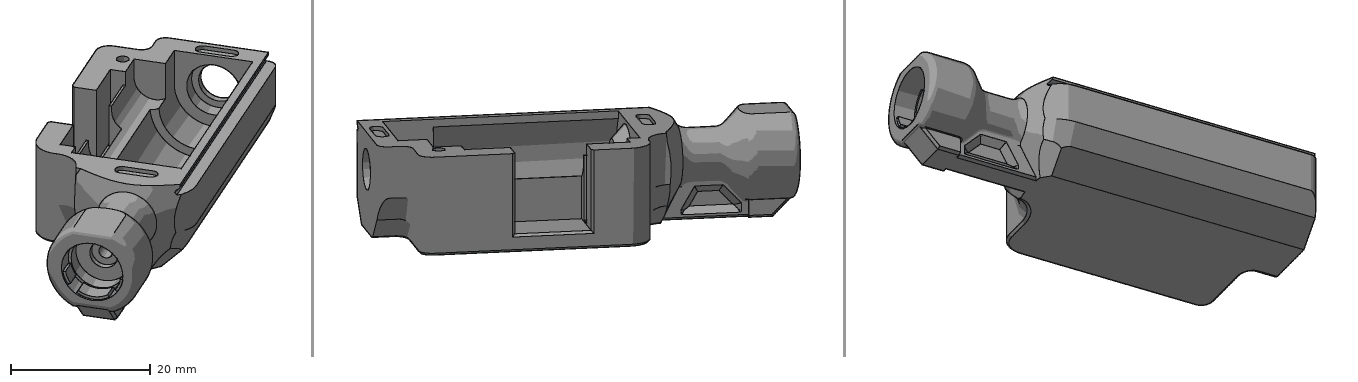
import cadquery as cq
import math

LENGTH = 62.2
AXIS_Z = 9.1
DECK_Z = 14.55

SHELL_RIGHT = 8.65
SHELL_LEFT = -8.65
SHELL_REAR_LEFT = -9.3
SHELL_SPLIT = 40.4
SHELL_FRONT = 16.8
KNEE_Z = 6.95
HAUNCH_Z = 3.5
KNEE_INSET = 1.35
FOOT_INSET = 4.8
REAR_CORNER_R = 1.55
SHOULDER_Y = 21.1
SHOULDER_R = 5.0
SHOULDER_TAPER = 34.0

LOBE_LEFT = -16.7
LOBE_FRONT = 23.3
LOBE_BACK = 57.5
LOBE_FRONT_R = 3.6
LOBE_BACK_R = 2.05
FRONT_BLEND_R = 3.75
REAR_BLEND_R = 1.6
BASE_CHAMFER = 0.4

NECK_R = 3.9
BARREL_R = 7.0
FLAT_HEIGHT = 6.35
BARREL_END = 6.7
MOUTH_FILLET = 1.0
NECK_FRONT = 11.15
NECK_BACK = 15.2
NOSE_R = 5.4
NOSE_Y = 17.4
NOSE_SLOPE = 0.6

MOUTH_BORE_R = 4.6
BORE_R = 4.15
MOUTH_BORE_DEPTH = 3.3
BORE_DEPTH = 5.6
NOTCH_MIDDLE = 90.0
NOTCH_SPREAD = 66.0
LUGS = ((-23.5, 27.0), (-90.0, 64.0), (-156.5, 27.0))
LUG_FRONT = 0.4
LUG_BACK = 3.0
SEAT_D = 4.15
SEAT_DEPTH = 0.95
PASSAGE_D = 2.0

KEEL_HALF = 2.05
KEEL_TIP_HALF = 2.75
KEEL_STEP_Y = 6.85
KEEL_TOE_Y = 3.35
KEEL_TOP = 6.85
KEEL_BACK = 20.5
WEB_FILLET = 0.5
RECESS_DEPTH = 0.9
RECESS_CORNER_R = 0.3
RECESS_TAPER = 50.0

POCKET_RIGHT = 5.85
POCKET_FRONT = 24.3
POCKET_STEP = 51.3
POCKET_BACK = 58.7
WIDE_R = 7.3
NARROW_R = 5.9
REAR_PORT_R = 4.05
REAR_PORT_DEPTH = 2.35
REAR_HOLE_R = 3.0
BOSS_BASE_R = 4.85
BOSS_TIP_R = 2.8
BOSS_LENGTH = 2.0

CHANNEL_R = 3.1
CHANNEL_LEFT = -10.65
CHANNEL_Z = 11.6
CHANNEL_BACK = 54.5
WINDOW_INNER = -9.15
WINDOW_FRONT = 32.5
WINDOW_BACK = 43.65
WINDOW_FLOOR = 2.6
WINDOW_BEVEL = 0.4
SLIT_FLOOR = 2.85
SLIT_LEFT = -12.95
SLIT_RIGHT = -11.0
SLIT_FRONT = 26.2
SLIT_BACK = 50.4
LEDGE_RIGHT = -10.5
LEDGE_Z = 12.4

PIN_D = 1.8
PIN_X = -12.2
PIN_Y = 54.0
PIN_DEPTH = 3.75
KEY_LENGTH = 6.35
KEY_WIDTH = 2.0
KEY_DEPTH = 0.6
KEY_YS = (21.4, 60.35)
LIP_X = 7.15
LIP_THICKNESS = 0.45
LIP_UNDERCUT = 0.6
REBATE_Z = 13.1

OVER = 3.1


def block(x0, x1, y0, y1, z0, z1):
    return cq.Workplane("XY").box(x1 - x0, y1 - y0, z1 - z0, centered=False).translate((x0, y0, z0))


def rod(radius, y0, y1, x=0.0, z=AXIS_Z):
    """Solid cylinder along Y from y0 to y1."""
    return cq.Workplane("XZ", origin=(x, y0, z)).circle(radius).extrude(y0 - y1)


def turned(profile):
    """Revolve an outline of (radius, y) about the nozzle axis."""
    return profile.close().revolve(360, (0, 0, 0), (0, 1, 0)).translate((0, 0, AXIS_Z))


def right_profile():
    """Bevelled right side of the shell, from the deck down to the underside."""
    return [
        (SHELL_RIGHT, DECK_Z),
        (SHELL_RIGHT, KNEE_Z),
        (SHELL_RIGHT - KNEE_INSET, HAUNCH_Z),
        (SHELL_RIGHT - FOOT_INSET, 0),
    ]


def shell_length(left, y0, y1):
    section = right_profile() + [
        (left + FOOT_INSET, 0),
        (left + KNEE_INSET, HAUNCH_Z),
        (left, KNEE_Z),
        (left, DECK_Z),
    ]
    return cq.Workplane("XZ", origin=(0, y0, 0)).polyline(section).close().extrude(y0 - y1)


def make_shell():
    rear = shell_length(SHELL_REAR_LEFT, SHELL_SPLIT, LENGTH)
    plan = block(SHELL_REAR_LEFT, SHELL_RIGHT, SHELL_SPLIT, LENGTH, 0, DECK_Z)
    rear = rear.intersect(plan.edges("|Z and >Y").fillet(REAR_CORNER_R))
    return rear.union(shell_length(SHELL_LEFT, SHELL_FRONT, SHELL_SPLIT))


def make_lobe():
    lobe = block(LOBE_LEFT, 0, LOBE_FRONT, LOBE_BACK, 0, DECK_Z)
    lobe = lobe.edges("|Z and <X and <Y").fillet(LOBE_FRONT_R)
    return lobe.edges("|Z and <X and >Y").fillet(LOBE_BACK_R)


def blend_edges(body, y):
    """Edges where the lobe wall at the given y meets the bevelled side of the shell."""
    margin = 0.05
    selector = cq.selectors.BoxSelector(
        (SHELL_REAR_LEFT - margin, y - margin, BASE_CHAMFER + margin),
        (SHELL_LEFT + FOOT_INSET + margin, y + margin, DECK_Z + margin),
    )
    return body.edges(selector)


def lobe_base_edges(body):
    """Underside edges whose middle lies under the lobe."""
    selector = cq.selectors.BoxSelector(
        (LOBE_LEFT - 0.6, 0, -0.6),
        (SHELL_LEFT + KNEE_INSET, LENGTH, 0.6),
    )
    return body.edges(selector)


def make_nose_envelope():
    cone_r = 9.65
    rim_r = 28.0
    rim_y = LOBE_FRONT - 0.2
    cone_y = NOSE_Y + NOSE_SLOPE * (cone_r - NOSE_R)
    tip_y = NOSE_Y - NOSE_SLOPE * NOSE_R
    return turned(
        cq.Workplane("XY").moveTo(0, tip_y).lineTo(cone_r, cone_y).lineTo(rim_r, rim_y)
        .lineTo(rim_r, LENGTH + OVER).lineTo(0, LENGTH + OVER)
    )


def make_shoulder_envelope():
    """Everything left of the right side, which tapers in towards the nose."""
    spare = 12.45
    profile = right_profile()
    foot_x, foot_z = profile[-1]
    haunch_x, haunch_z = profile[-2]
    bevel = (haunch_x - foot_x) / (haunch_z - foot_z)
    section = [(SHELL_RIGHT, DECK_Z + spare)] + profile[1:-1] + [
        (foot_x - bevel * spare, -spare),
        (LOBE_LEFT - spare, -spare),
        (LOBE_LEFT - spare, DECK_Z + spare),
    ]
    base = cq.Sketch().polygon(section + section[:1])
    plane = cq.Workplane("XZ", origin=(0, SHOULDER_Y, 0))
    tapered = plane.placeSketch(base).extrude(SHOULDER_Y - SHELL_FRONT + 0.6, taper=SHOULDER_TAPER)
    envelope = tapered.union(plane.placeSketch(base).extrude(SHOULDER_Y - LENGTH - OVER))
    shoulder_edges = cq.selectors.BoxSelector(
        (0, SHOULDER_Y - 0.05, -spare), (SHELL_RIGHT + 0.6, SHOULDER_Y + 0.05, DECK_Z + spare)
    )
    return envelope.edges(shoulder_edges).fillet(SHOULDER_R)


def make_nozzle():
    cone_top_r = BARREL_R - 0.4
    cone_foot_r = NECK_R + 0.6
    cone_top_y = BARREL_END + 0.8
    cone_foot_y = cone_top_y + cone_top_r - cone_foot_r
    flare_r = NECK_R + 0.75
    flare_y = NOSE_Y - NOSE_SLOPE * (NOSE_R - flare_r) + 0.1
    nozzle = turned(
        cq.Workplane("XY").moveTo(0, 0).lineTo(BARREL_R, 0).lineTo(BARREL_R, BARREL_END - 0.4)
        .tangentArcPoint((cone_top_r, cone_top_y), relative=False)
        .lineTo(cone_foot_r, cone_foot_y)
        .tangentArcPoint((NECK_R, NECK_FRONT), relative=False)
        .lineTo(NECK_R, NECK_BACK)
        .tangentArcPoint((flare_r, flare_y), relative=False)
        .lineTo(flare_r, POCKET_FRONT - 0.6).lineTo(0, POCKET_FRONT - 0.6)
    )
    flats = block(-BARREL_R, BARREL_R, 0, POCKET_FRONT, AXIS_Z - FLAT_HEIGHT, AXIS_Z + FLAT_HEIGHT)
    nozzle = nozzle.intersect(flats)
    return nozzle.faces("<Y").edges().fillet(MOUTH_FILLET)


def make_keel():
    toe_top = 3.25
    side = [
        (KEEL_TOE_Y, 0),
        (KEEL_TOE_Y - toe_top, toe_top),
        (MOUTH_FILLET + 0.6, KEEL_TOP),
        (KEEL_BACK, KEEL_TOP),
        (KEEL_BACK, 0),
    ]
    keel = cq.Workplane("YZ").polyline(side).close().extrude(KEEL_TIP_HALF, both=True)
    for relief_x in (KEEL_HALF, -KEEL_TIP_HALF - OVER):
        relief = block(relief_x, relief_x + KEEL_TIP_HALF - KEEL_HALF + OVER, KEEL_STEP_Y,
                       KEEL_BACK + OVER, -OVER, KEEL_TOP + OVER)
        keel = keel.cut(relief)
    toe_edges = cq.selectors.BoxSelector((-OVER, 0, -0.05), (OVER, KEEL_BACK - 0.6, toe_top - 0.6))
    return keel.edges("not |X").edges("not |Z").edges(toe_edges).chamfer(BASE_CHAMFER)


def make_keel_recess():
    outline = [(16.7, 0.75), (16.7, 1.5), (14.7, 4.9), (10.5, 4.9), (7.85, 2.1), (7.85, 0.75)]
    sketch = cq.Sketch().polygon(outline + outline[:1]).vertices().fillet(RECESS_CORNER_R)
    tool = cq.Workplane("YZ", origin=(KEEL_HALF, 0, 0)).placeSketch(sketch)
    tool = tool.extrude(-RECESS_DEPTH, taper=RECESS_TAPER)
    return tool.union(tool.mirror("YZ"))


def make_pocket():
    top = DECK_Z + OVER
    wide = rod(WIDE_R, POCKET_FRONT, POCKET_STEP)
    wide = wide.union(block(-WIDE_R, POCKET_RIGHT, POCKET_FRONT, POCKET_STEP, AXIS_Z, top))
    narrow = rod(NARROW_R, POCKET_FRONT, POCKET_BACK)
    narrow = narrow.union(block(-NARROW_R, POCKET_RIGHT, POCKET_FRONT, POCKET_BACK, AXIS_Z, top))
    channel_x = CHANNEL_LEFT + CHANNEL_R
    channel = rod(CHANNEL_R, POCKET_FRONT, CHANNEL_BACK, channel_x, CHANNEL_Z)
    channel = channel.union(block(CHANNEL_LEFT, channel_x, POCKET_FRONT, CHANNEL_BACK, CHANNEL_Z, top))
    channel = channel.union(block(channel_x, 0, POCKET_FRONT, CHANNEL_BACK, CHANNEL_Z, top))
    boss = turned(
        cq.Workplane("XY").moveTo(0, POCKET_FRONT).lineTo(BOSS_BASE_R, POCKET_FRONT)
        .lineTo(BOSS_TIP_R, POCKET_FRONT + BOSS_LENGTH).lineTo(0, POCKET_FRONT + BOSS_LENGTH)
    )
    return wide.union(narrow).union(channel).cut(boss)


def make_window():
    top = DECK_Z + OVER
    window = block(LOBE_LEFT - OVER, WINDOW_INNER, WINDOW_FRONT, WINDOW_BACK, WINDOW_FLOOR, top)
    height = 2 * (DECK_Z - WINDOW_FLOOR)
    bevel = (
        cq.Workplane("YZ", origin=(LOBE_LEFT, (WINDOW_FRONT + WINDOW_BACK) / 2, DECK_Z))
        .rect(WINDOW_BACK - WINDOW_FRONT + 2 * WINDOW_BEVEL, height + 2 * WINDOW_BEVEL)
        .extrude(WINDOW_BEVEL, taper=45)
    )
    slit = block(SLIT_LEFT, SLIT_RIGHT, SLIT_FRONT, SLIT_BACK, SLIT_FLOOR, top)
    ledge = block(SLIT_RIGHT, LEDGE_RIGHT, SLIT_FRONT, SLIT_BACK, LEDGE_Z, top)
    return window.union(bevel).union(slit).union(ledge)


def sector(radius, y0, y1, middle, spread):
    """Pie slice about the nozzle axis; angles in degrees, counted from +X towards +Z."""
    def rim(angle):
        turn = math.radians(angle)
        return radius * math.cos(turn), radius * math.sin(turn)

    slice_outline = (
        cq.Workplane("XZ", origin=(0, y0, AXIS_Z)).lineTo(*rim(middle - spread / 2))
        .threePointArc(rim(middle), rim(middle + spread / 2)).close()
    )
    return slice_outline.extrude(y0 - y1)


def make_mouth_bore():
    """Wide mouth of the nozzle with the locking lugs left standing on its wall."""
    mouth = rod(MOUTH_BORE_R, -OVER, MOUTH_BORE_DEPTH)
    core = rod(BORE_R, -OVER, BORE_DEPTH)
    for middle, spread in LUGS:
        mouth = mouth.cut(sector(MOUTH_BORE_R + 0.6, LUG_FRONT, LUG_BACK, middle, spread))
    notch = sector(MOUTH_BORE_R, 0, BORE_DEPTH, NOTCH_MIDDLE, NOTCH_SPREAD)
    return mouth.union(core).union(notch)


def make_bores():
    bores = rod(PASSAGE_D / 2, 0, POCKET_BACK)
    bores = bores.union(rod(SEAT_D / 2, 0, BORE_DEPTH + SEAT_DEPTH))
    bores = bores.union(make_mouth_bore())
    bores = bores.union(rod(REAR_PORT_R, POCKET_BACK - 0.6, POCKET_BACK + REAR_PORT_DEPTH))
    return bores.union(rod(REAR_HOLE_R, POCKET_BACK - 0.6, LENGTH + OVER))


def make_rebate():
    lip_bottom = DECK_Z - LIP_THICKNESS
    section = [
        (LIP_X, DECK_Z + OVER),
        (LIP_X, lip_bottom),
        (LIP_X - LIP_UNDERCUT, lip_bottom - LIP_UNDERCUT),
        (LIP_X - LIP_UNDERCUT / 2, REBATE_Z),
        (SHELL_RIGHT + OVER, REBATE_Z),
        (SHELL_RIGHT + OVER, DECK_Z + OVER),
    ]
    rebate = cq.Workplane("XZ", origin=(0, SHELL_FRONT, 0)).polyline(section).close()
    return rebate.extrude(SHELL_FRONT - LENGTH - OVER)


housing = make_shell().union(make_lobe())
housing = blend_edges(housing, LOBE_FRONT).fillet(FRONT_BLEND_R)
housing = blend_edges(housing, LOBE_BACK).fillet(REAR_BLEND_R)
housing = lobe_base_edges(housing).chamfer(BASE_CHAMFER)
housing = housing.intersect(make_nose_envelope())
housing = housing.intersect(make_shoulder_envelope()).cut(make_rebate())

stem = make_nozzle().union(make_keel())
web_edges = cq.selectors.BoxSelector(
    (-KEEL_HALF - 0.05, KEEL_STEP_Y + 0.1, 2.5), (KEEL_HALF + 0.05, NOSE_Y, KEEL_TOP - 0.05)
)
stem = stem.edges(web_edges).fillet(WEB_FILLET)
result = housing.union(stem).cut(make_keel_recess())
result = result.cut(make_pocket()).cut(make_window()).cut(make_bores())

deck = cq.Workplane("XY", origin=(0, 0, DECK_Z))
pin_hole = deck.center(PIN_X, PIN_Y).circle(PIN_D / 2).extrude(-PIN_DEPTH)
key_slots = deck.pushPoints([(0, y) for y in KEY_YS]).slot2D(KEY_LENGTH, KEY_WIDTH).extrude(-KEY_DEPTH)
result = result.cut(pin_hole).cut(key_slots)